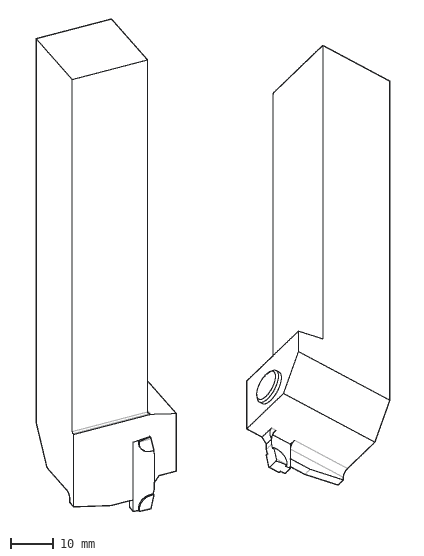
import cadquery as cq
import math

TOTAL_LENGTH = 126.4
SHANK_SIDE = 19.8

HEAD_WIDTH = 20.6
HEAD_DEPTH = 27.0
HEAD_BOTTOM = 8.6
HEAD_TOP = 26.5
HEAD_LEDGE = 0.5
SHANK_ROOT_FILLET = 0.4
HEAD_TOP_SLOPE = 14.0
HEAD_CHAMFER_WIDTH = 6.0
HEAD_CHAMFER_TOP = 18.0

SCREW_DIAMETER = 8.5
SCREW_HEIGHT = 1.4
SCREW_CHAMFER = 0.5
SCREW_X = 11.0
SCREW_Z = 14.7

INSERT_WIDTH = 3.2
INSERT_LENGTH = 20.3
INSERT_FRONT = 15.7
INSERT_BACK = 21.2
EDGE_Y = 20.1
RAKE_HEIGHT = 5.2
END_RELIEF = 0.4
TIP_HEIGHT = 3.9
TIP_RADIUS = 3.0
TIP_TOP_WIDTH = 3.0
TIP_CORNER_RADIUS = 0.4

BLADE_WIDTH = 2.1
BLADE_BOTTOM = 3.7
BLADE_FRONT_BOTTOM = 6.1
BLADE_SLOPE_END = 9.9
BLADE_FILLET = 1.6
JAW_OVERHANG = 1.3
JAW_DROP = 1.6
BLADE_LEFT = HEAD_WIDTH - BLADE_WIDTH
INSERT_CENTRE_X = HEAD_WIDTH - BLADE_WIDTH / 2


def make_shank():
    return cq.Workplane("XY", origin=(0, 0, HEAD_BOTTOM)).box(
        SHANK_SIDE, SHANK_SIDE, TOTAL_LENGTH - HEAD_BOTTOM, centered=False
    )


def make_head():
    """Block with a narrow flat ledge behind the shank and a slope down to the back."""
    ledge_end = SHANK_SIDE + HEAD_LEDGE
    slope_drop = (HEAD_DEPTH - ledge_end) * math.tan(math.radians(HEAD_TOP_SLOPE))
    return (
        cq.Workplane("YZ")
        .moveTo(0, HEAD_BOTTOM)
        .lineTo(HEAD_DEPTH, HEAD_BOTTOM)
        .lineTo(HEAD_DEPTH, HEAD_TOP - slope_drop)
        .lineTo(ledge_end, HEAD_TOP)
        .lineTo(0, HEAD_TOP)
        .close()
        .extrude(HEAD_WIDTH)
    )


def make_shank_on_head():
    """Shank and head joined, with a small fillet where the shank meets the top of the head."""
    joined = make_shank().union(make_head())
    root_edges = cq.selectors.BoxSelector(
        (0, 0, HEAD_TOP - SHANK_ROOT_FILLET),
        (SHANK_SIDE + HEAD_LEDGE / 2, SHANK_SIDE + HEAD_LEDGE / 2, HEAD_TOP + SHANK_ROOT_FILLET),
    )
    return joined.edges(root_edges).fillet(SHANK_ROOT_FILLET)


def make_head_chamfer():
    """Wedge to remove from the lower corner of the head."""
    return (
        cq.Workplane("XZ")
        .moveTo(0, HEAD_BOTTOM)
        .lineTo(HEAD_CHAMFER_WIDTH, HEAD_BOTTOM)
        .lineTo(0, HEAD_CHAMFER_TOP)
        .close()
        .extrude(-HEAD_DEPTH)
    )


def make_blade():
    """Thin blade under the head, with a fillet along its root."""
    side = (
        cq.Workplane("YZ")
        .moveTo(0, HEAD_BOTTOM)
        .lineTo(0, BLADE_FRONT_BOTTOM)
        .lineTo(BLADE_SLOPE_END, BLADE_BOTTOM)
        .lineTo(INSERT_FRONT, BLADE_BOTTOM)
        .lineTo(INSERT_FRONT, HEAD_BOTTOM - JAW_DROP)
        .lineTo(INSERT_BACK, HEAD_BOTTOM - JAW_DROP)
        .lineTo(INSERT_BACK + JAW_OVERHANG, HEAD_BOTTOM)
        .close()
        .extrude(HEAD_WIDTH)
    )
    section = (
        cq.Workplane("XZ")
        .moveTo(HEAD_WIDTH, 0)
        .lineTo(HEAD_WIDTH, HEAD_BOTTOM)
        .lineTo(BLADE_LEFT - BLADE_FILLET, HEAD_BOTTOM)
        .radiusArc((BLADE_LEFT, HEAD_BOTTOM - BLADE_FILLET), BLADE_FILLET)
        .lineTo(BLADE_LEFT, 0)
        .close()
        .extrude(-HEAD_DEPTH)
    )
    return side.intersect(section)


def make_insert_slot():
    """Clears the blade and its root fillet across the depth of the insert."""
    return cq.Workplane("XY", origin=(BLADE_LEFT - BLADE_FILLET, INSERT_FRONT, 0)).box(
        BLADE_WIDTH + BLADE_FILLET, INSERT_BACK - INSERT_FRONT, HEAD_BOTTOM, centered=False
    )


def make_screw_head():
    return (
        cq.Workplane("XZ", origin=(SCREW_X, HEAD_DEPTH, SCREW_Z))
        .circle(SCREW_DIAMETER / 2)
        .extrude(-SCREW_HEIGHT)
        .faces(">Y")
        .chamfer(SCREW_CHAMFER)
    )


def make_insert_shank():
    return (
        cq.Workplane("YZ", origin=(INSERT_CENTRE_X - BLADE_WIDTH / 2, 0, 0))
        .moveTo(INSERT_FRONT, END_RELIEF)
        .lineTo(EDGE_Y, 0)
        .lineTo(INSERT_BACK, RAKE_HEIGHT)
        .lineTo(INSERT_BACK, INSERT_LENGTH - RAKE_HEIGHT)
        .lineTo(EDGE_Y, INSERT_LENGTH)
        .lineTo(INSERT_FRONT, INSERT_LENGTH - END_RELIEF)
        .close()
        .extrude(BLADE_WIDTH)
    )


def make_lower_tip():
    """Wider cutting tip: a rounded corner region, tapered upward in width."""
    relief_slope = END_RELIEF / (EDGE_Y - INSERT_FRONT)
    rake_slope = (INSERT_BACK - EDGE_Y) / RAKE_HEIGHT
    heel_y = EDGE_Y - TIP_RADIUS
    side = (
        cq.Workplane("YZ", origin=(INSERT_CENTRE_X - INSERT_WIDTH / 2, 0, 0))
        .moveTo(EDGE_Y, 0)
        .lineTo(EDGE_Y + rake_slope * TIP_HEIGHT, TIP_HEIGHT)
        .lineTo(EDGE_Y, TIP_HEIGHT)
        .radiusArc((heel_y, TIP_HEIGHT - TIP_RADIUS), -TIP_RADIUS)
        .lineTo(heel_y, relief_slope * TIP_RADIUS)
        .close()
        .extrude(INSERT_WIDTH)
    )
    front = (
        cq.Workplane("XZ", origin=(INSERT_CENTRE_X, 0, 0))
        .moveTo(-INSERT_WIDTH / 2, 0)
        .lineTo(INSERT_WIDTH / 2, 0)
        .lineTo(TIP_TOP_WIDTH / 2, TIP_HEIGHT)
        .lineTo(-TIP_TOP_WIDTH / 2, TIP_HEIGHT)
        .close()
        .extrude(-HEAD_DEPTH)
        .edges("|Y and <Z")
        .fillet(TIP_CORNER_RADIUS)
    )
    return side.intersect(front)


def make_insert():
    lower_tip = make_lower_tip()
    upper_tip = lower_tip.mirror("XY", (0, 0, INSERT_LENGTH / 2))
    return make_insert_shank().union(lower_tip).union(upper_tip)


def make_holder(insert):
    body = make_shank_on_head().cut(make_head_chamfer())
    body = body.union(make_blade()).cut(make_insert_slot())
    return body.union(make_screw_head()).cut(insert)


insert = make_insert()
holder = make_holder(insert)

result = cq.Compound.makeCompound([holder.solids().val(), insert.solids().val()])